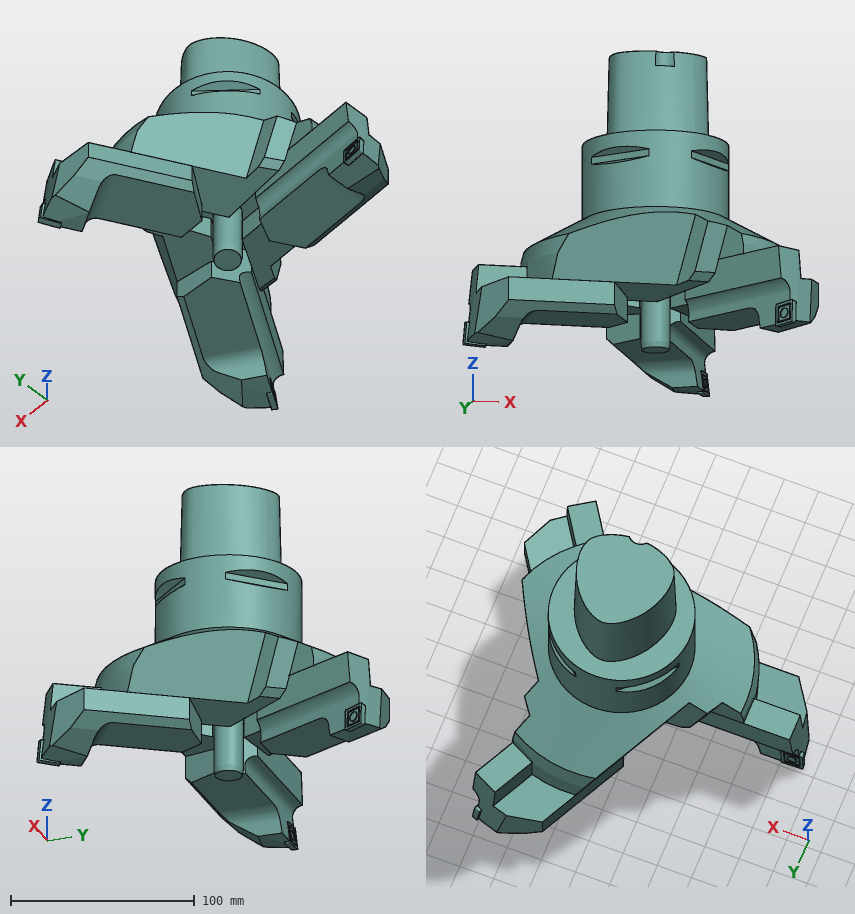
import cadquery as cq
import math


arm_turns = [0, 123, 243]
full_turn = 360

cutter_size = 285.2
cut_margin = 1.9

shank_height = 48.0
shank_base_radius = 27.8
shank_top_radius = 26.6
lobe_offset = 2.0
lobe_count = 3
first_lobe_angle = 90.0
lobe_half_turn = 34.0
points_per_side = 9
notch_radius = 6.7
notch_center_y = -28.5
notch_depth = 8.2

flange_radius = 80.0 / 2
flange_height = 42.8
slot_count = 4
slot_first_angle = 45.0
slot_z = -12.4
slot_floor_distance = 35.4
slot_floor_half = 1.9
slot_mouth_half = 4.4

shoulder_radius = 72.5
shoulder_z = -61.5
rim_radius = 75.0
rim_z = -71.5
bottom_radius = 74.3
bottom_z = -89.0
arm_flat_reach = 73.8

leading_y = 6.3
step_y = 16.2
trailing_slope = 0.33
trailing_shoulder_y = -43.7
step_turn = 120.0
step_shoulder_y = -54.4
step_chamfer_z = -80.0

nozzle_radius = 16.0 / 2
nozzle_end_z = -113.7
nozzle_tip_height = 3.0
nozzle_tip_inset = 0.5

block_top_z = -73.0
block_back_y = -9.7
wing_back_y = -36.0
wing_top_z = -85.4
wing_chamfer_z = -98.1
tooth_bend_y = -27.5
tooth_bend_z = -106.0
tooth_back_y = -12.4
tooth_bottom_z = -115.4
groove_top_z = -91.5
groove_bottom_z = -98.0
groove_bottom_y = 0.2
groove_radius = 6.5
rake = 5.3

wing_inner_reach = 30.6
nose_reach = 18.6
nose_y = -13.7
block_inner_reach = 28.9
outer_reach = 114.0
gullet_z = -102.3
gullet_start = 72.0
gullet_radius = 8.7
gullet_wall_angle = 76.0
end_reach = 100.8
end_slope = 0.11
relief_reach = 102.5
relief_y = -7.5
relief_z = -89.0
relief_y_slope = 0.12
relief_z_slope = 0.1
corner_reach = 101.0
corner_y = -19.2
corner_end_reach = 89.5
heel_reach = 103.8
heel_y = -5.7
heel_z = -114.0
heel_reach_slope = 0.1
heel_y_slope = 0.13

insert_side = 12.7
insert_thickness = 3.5
insert_clearance = 7.0
insert_corner_radius = 0.8
insert_turn = 4.0
insert_reach = 100.2
insert_y = 1.5
insert_z = -109.7
recess_diameter = 5.5
recess_depth = 0.4
breaker_outer_side = 9.3
breaker_inner_side = 8.4
breaker_depth = 0.5


def half_space(point, outward):
    """Large block that fills the outward side of the plane through a point."""
    plane = cq.Plane(origin=point, normal=outward)
    return cq.Workplane(plane).rect(2 * cutter_size, 2 * cutter_size).extrude(cutter_size)


def turned(shape, angle):
    """Shape turned about the tool axis."""
    return shape.rotate((0, 0, 0), (0, 0, 1), angle)


def polygon_point(mean_radius, angle, z):
    """Point of the constant-width three-lobed polygon where its normal has the given angle."""
    phase = lobe_count * (angle - math.radians(first_lobe_angle))
    support = mean_radius + lobe_offset * math.cos(phase)
    slope = -lobe_count * lobe_offset * math.sin(phase)
    x = support * math.cos(angle) - slope * math.sin(angle)
    y = support * math.sin(angle) + slope * math.cos(angle)
    return cq.Vector(x, y, z)


def polygon_wire(mean_radius, z):
    """Closed polygon section made of three narrow lobes and three broad sides."""
    pitch = full_turn / lobe_count
    edges = []
    for lobe in range(lobe_count):
        lobe_angle = first_lobe_angle + lobe * pitch
        sides = [
            (lobe_angle - lobe_half_turn, lobe_angle + lobe_half_turn),
            (lobe_angle + lobe_half_turn, lobe_angle + pitch - lobe_half_turn),
        ]
        for start, end in sides:
            step = (end - start) / (points_per_side - 1)
            angles = [math.radians(start + i * step) for i in range(points_per_side)]
            points = [polygon_point(mean_radius, angle, z) for angle in angles]
            tangents = [cq.Vector(-math.sin(a), math.cos(a), 0) for a in (angles[0], angles[-1])]
            edges.append(cq.Edge.makeSpline(points, tangents=tangents))
    return cq.Wire.assembleEdges(edges)


def make_shank():
    wires = [polygon_wire(shank_base_radius, 0), polygon_wire(shank_top_radius, shank_height)]
    shank = cq.Workplane(cq.Solid.makeLoft(wires, True))
    notch = (
        cq.Workplane("XY", origin=(0, notch_center_y, shank_height - notch_depth))
        .circle(notch_radius)
        .extrude(notch_depth)
    )
    return shank.cut(notch)


def make_gripper_slot():
    """Flat-floored slot with sloping flanks, across the +X side of the flange."""
    flank_slope = (slot_mouth_half - slot_floor_half) / (flange_radius - slot_floor_distance)
    outside = flange_radius + cut_margin
    outside_half = slot_mouth_half + flank_slope * cut_margin
    return (
        cq.Workplane("XZ", origin=(0, cutter_size / 2, 0))
        .polyline([
            (slot_floor_distance, slot_z - slot_floor_half),
            (outside, slot_z - outside_half),
            (outside, slot_z + outside_half),
            (slot_floor_distance, slot_z + slot_floor_half),
        ])
        .close()
        .extrude(cutter_size)
    )


def make_blank():
    """Round body from the flange to the underside."""
    return (
        cq.Workplane("XZ")
        .polyline([
            (0, 0),
            (flange_radius, 0),
            (flange_radius, -flange_height),
            (shoulder_radius, shoulder_z),
            (rim_radius, rim_z),
            (bottom_radius, bottom_z),
            (0, bottom_z),
        ])
        .close()
        .revolve()
    )


def make_nozzle():
    """Coolant nozzle on the axis, rooted in the roof of the block slots."""
    nozzle_length = block_top_z - nozzle_end_z
    return (
        cq.Workplane("XY", origin=(0, 0, nozzle_end_z))
        .circle(nozzle_radius)
        .extrude(nozzle_length)
        .faces("<Z")
        .chamfer(nozzle_tip_height, nozzle_tip_inset)
    )


def make_block_slot():
    """Slot for the upper block of a cartridge, open from the axis outward."""
    return (
        cq.Workplane("XY", origin=(0, 0, block_top_z))
        .polyline([
            (0, block_back_y),
            (-outer_reach, block_back_y),
            (-outer_reach, leading_y),
            (0, leading_y),
        ])
        .close()
        .extrude(bottom_z - block_top_z)
    )


def make_chip_pocket(turn_to_next):
    """Room between the trailing side of an arm and the stepped leading side of the next arm."""
    trailing_normal = (0, -1, -trailing_slope)
    behind_arm = half_space((0, trailing_shoulder_y, shoulder_z), trailing_normal)
    past_step = turned(half_space((0, step_y, 0), (0, 1, 0)), turn_to_next)

    chamfer_y = step_shoulder_y - trailing_slope * (step_chamfer_z - shoulder_z)
    behind_step = half_space((0, step_shoulder_y, shoulder_z), trailing_normal)
    under_chamfer = half_space((0, chamfer_y, step_chamfer_z), (0, -1, -1))
    step_room = turned(behind_step.union(under_chamfer), turn_to_next - step_turn)
    past_leading = turned(half_space((0, leading_y, 0), (0, 1, 0)), turn_to_next)
    return behind_arm.intersect(past_step).union(step_room.intersect(past_leading))


def make_insert_blank():
    """Workplane of the insert face, and the plain insert that also shapes its seat."""
    plane = cq.Plane(
        origin=(-insert_reach, insert_y, insert_z),
        xDir=(-1, 0, 0),
        normal=(0, math.cos(math.radians(rake)), math.sin(math.radians(rake))),
    )
    face = cq.Workplane(plane).transformed(rotate=(0, 0, insert_turn))
    blank = (
        face.sketch()
        .rect(insert_side, insert_side)
        .vertices()
        .fillet(insert_corner_radius)
        .finalize()
        .extrude(-insert_thickness, taper=insert_clearance)
    )
    return face, blank


def make_insert():
    """Square insert with a chip-breaker groove around its shallow round recess."""
    face, blank = make_insert_blank()
    groove = (
        face.rect(breaker_outer_side, breaker_outer_side)
        .rect(breaker_inner_side, breaker_inner_side)
        .extrude(-breaker_depth)
    )
    recess = face.circle(recess_diameter / 2).extrude(-recess_depth)
    return blank.cut(groove).cut(recess)


def make_cartridge():
    face_tilt = math.tan(math.radians(rake))
    tooth_front_y = groove_bottom_y + face_tilt * (groove_bottom_z - tooth_bottom_z)
    cartridge = (
        cq.Workplane("YZ", origin=(-outer_reach, 0, 0))
        .moveTo(leading_y, block_top_z)
        .lineTo(block_back_y, block_top_z)
        .lineTo(block_back_y, bottom_z)
        .lineTo(wing_back_y, wing_top_z)
        .lineTo(wing_back_y, wing_chamfer_z)
        .lineTo(tooth_bend_y, tooth_bend_z)
        .lineTo(tooth_back_y, tooth_bottom_z)
        .lineTo(tooth_front_y, tooth_bottom_z)
        .lineTo(groove_bottom_y, groove_bottom_z)
        .radiusArc((leading_y, groove_top_z), groove_radius)
        .close()
        .extrude(outer_reach)
    )
    return cartridge.intersect(make_plan_outline()).cut(make_gullet()).cut(make_end_faces())


def make_plan_outline():
    """Cartridge outline in plan, with its pointed inner end."""
    return (
        cq.Workplane("XY")
        .polyline([
            (-outer_reach, wing_back_y),
            (-wing_inner_reach, wing_back_y),
            (-nose_reach, nose_y),
            (-block_inner_reach, leading_y),
            (-outer_reach, leading_y),
        ])
        .close()
        .extrude(-cutter_size)
    )


def make_gullet():
    """Rounded clearance inside the tooth."""
    wall_angle = math.radians(gullet_wall_angle)
    arc_end = (
        gullet_start + gullet_radius * math.sin(wall_angle),
        gullet_z - gullet_radius * (1 - math.cos(wall_angle)),
    )
    floor_z = tooth_bottom_z - cut_margin
    floor_reach = arc_end[0] + (arc_end[1] - floor_z) / math.tan(wall_angle)
    return (
        cq.Workplane("XZ", origin=(0, cutter_size / 2, 0))
        .moveTo(0, gullet_z)
        .lineTo(-gullet_start, gullet_z)
        .radiusArc((-arc_end[0], arc_end[1]), -gullet_radius)
        .lineTo(-floor_reach, floor_z)
        .lineTo(0, floor_z)
        .close()
        .extrude(cutter_size)
    )


def make_end_faces():
    """Everything outside the end face, its two relief faces and the heel under the tooth."""
    end = half_space((-end_reach, 0, block_top_z), (-1, 0, end_slope))
    relief = half_space((-relief_reach, relief_y, relief_z), (-1, -relief_y_slope, relief_z_slope))
    corner = half_space(
        (-corner_reach, corner_y, 0),
        (wing_back_y - corner_y, corner_end_reach - corner_reach, 0),
    )
    heel = half_space((-heel_reach, heel_y, heel_z), (-heel_reach_slope, -heel_y_slope, -1))
    return end.union(relief).union(corner).union(heel)


def make_wing_room(turn_to_next):
    """Room under the sloping seat of a cartridge wing, up to the leading side of the next arm."""
    below_seat = half_space(
        (0, block_back_y, bottom_z),
        (0, bottom_z - wing_top_z, wing_back_y - block_back_y),
    )
    behind_block = half_space((0, block_back_y, 0), (0, -1, 0))
    past_leading = turned(half_space((0, leading_y, 0), (0, 1, 0)), turn_to_next)
    return below_seat.intersect(behind_block).intersect(past_leading)


def make_body():
    body = make_blank()
    past_flat = half_space((-arm_flat_reach, 0, 0), (-1, 0, 0))
    next_turns = arm_turns[1:] + [full_turn]
    for turn, next_turn in zip(arm_turns, next_turns):
        turn_to_next = next_turn - turn
        cuts = [
            make_chip_pocket(turn_to_next),
            make_wing_room(turn_to_next),
            make_block_slot(),
            past_flat,
        ]
        for cut in cuts:
            body = body.cut(turned(cut, turn))
    for i in range(slot_count):
        slot_angle = slot_first_angle + i * full_turn / slot_count
        body = body.cut(turned(make_gripper_slot(), slot_angle))
    return body.union(make_shank()).union(make_nozzle())


body = make_body()

insert_seat = make_insert_blank()[1]
cartridge = make_cartridge().cut(insert_seat)
cartridges = [turned(cartridge, turn) for turn in arm_turns]

insert = make_insert()
inserts = [turned(insert, turn) for turn in arm_turns]

solids = [part.solids().val() for part in [body] + cartridges + inserts]
result = cq.Compound.makeCompound(solids)